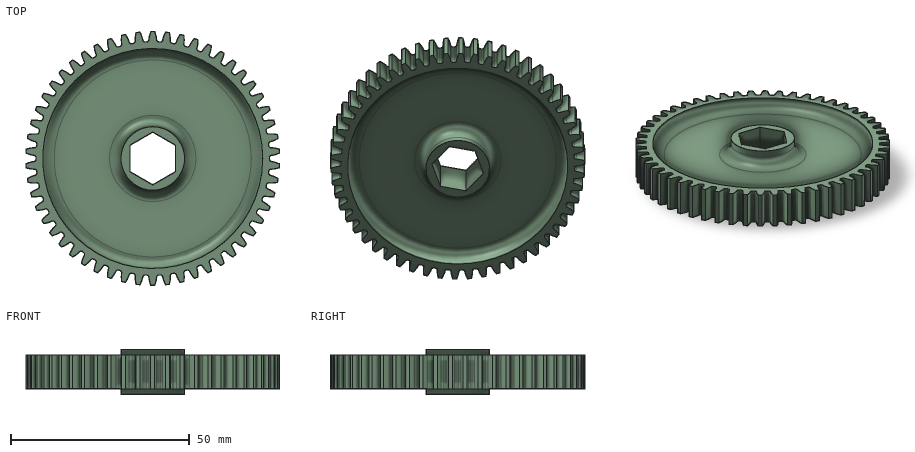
import cadquery as cq
import math

TOOTH_COUNT = 54
OUTER_DIAMETER = 71.1
PRESSURE_ANGLE = math.radians(14.5)
TOOTH_THINNING = 0.11
DEDENDUM_FACTOR = 5 / 4
ROOT_FILLET = 0.65
FLANK_POINTS = 8

FACE_WIDTH = 9.5
RIM_INNER_RADIUS = 30.8
HUB_DIAMETER = 17.8
HUB_LENGTH = 12.6
WEB_THICKNESS = 2.4
POCKET_FILLET = 3.2
HEX_ACROSS_FLATS = 12.7

MODULE = OUTER_DIAMETER / (TOOTH_COUNT + 2)
TIP_RADIUS = OUTER_DIAMETER / 2
PITCH_RADIUS = MODULE * TOOTH_COUNT / 2
ROOT_RADIUS = PITCH_RADIUS - DEDENDUM_FACTOR * MODULE
BASE_RADIUS = PITCH_RADIUS * math.cos(PRESSURE_ANGLE)
GAP_RADIUS = TIP_RADIUS + MODULE / 2
PITCH_ANGLE = 2 * math.pi / TOOTH_COUNT
HEX_CORNER_DIAMETER = HEX_ACROSS_FLATS / math.cos(math.pi / 6)


def roll_at(radius):
    """Roll angle at which the involute reaches a radius."""
    return math.sqrt((radius / BASE_RADIUS) ** 2 - 1)


def involute_angle(roll):
    """Polar angle swept by the involute from the base circle up to a roll angle."""
    return roll - math.atan(roll)


def polar(radius, angle):
    return radius * math.cos(angle), radius * math.sin(angle)


GAP_PITCH_ANGLE = PITCH_ANGLE / 4 + TOOTH_THINNING / 2 / PITCH_RADIUS
GAP_BASE_ANGLE = GAP_PITCH_ANGLE - involute_angle(roll_at(PITCH_RADIUS))


def flank_point(roll):
    """Point of the upper gap flank at a roll angle; the gap is centred on +X."""
    radius = BASE_RADIUS * math.hypot(1, roll)
    return polar(radius, GAP_BASE_ANGLE + involute_angle(roll))


def make_tooth_gap():
    """Gap between two teeth: involute flanks, then radial lines down to rounded root corners."""
    end_roll = roll_at(GAP_RADIUS)
    upper = [flank_point(end_roll * i / (FLANK_POINTS - 1)) for i in range(FLANK_POINTS)]
    lower = [(x, -y) for x, y in reversed(upper)]
    end_angle = GAP_BASE_ANGLE + end_roll
    upper_tangents = [polar(1, GAP_BASE_ANGLE), polar(1, end_angle)]
    lower_tangents = [polar(-1, -end_angle), polar(-1, -GAP_BASE_ANGLE)]
    gap = (
        cq.Workplane("XY")
        .workplane(offset=-FACE_WIDTH / 2)
        .moveTo(*polar(ROOT_RADIUS, GAP_BASE_ANGLE))
        .lineTo(*upper[0])
        .spline(upper[1:], tangents=upper_tangents, includeCurrent=True)
        .lineTo(*lower[0])
        .spline(lower[1:], tangents=lower_tangents, includeCurrent=True)
        .lineTo(*polar(ROOT_RADIUS, -GAP_BASE_ANGLE))
        .threePointArc((ROOT_RADIUS, 0), polar(ROOT_RADIUS, GAP_BASE_ANGLE))
        .close()
        .extrude(FACE_WIDTH)
    )
    inside_base_circle = cq.selectors.BoxSelector(
        (0, -MODULE, -FACE_WIDTH), ((ROOT_RADIUS + BASE_RADIUS) / 2, MODULE, FACE_WIDTH)
    )
    return gap.edges("|Z").edges(inside_base_circle).fillet(ROOT_FILLET)


def cut_teeth(blank):
    gap = make_tooth_gap().val()
    axis_start = cq.Vector(0, 0, 0)
    axis_end = cq.Vector(0, 0, 1)
    gaps = [gap.rotate(axis_start, axis_end, i * 360 / TOOTH_COUNT) for i in range(TOOTH_COUNT)]
    return blank.cut(cq.Workplane(cq.Compound.makeCompound(gaps)))


def make_blank():
    """Revolved half section of rim, web and hub, symmetric about the XY plane."""
    hub_radius = HUB_DIAMETER / 2
    hub_top = HUB_LENGTH / 2
    rim_top = FACE_WIDTH / 2
    web_top = WEB_THICKNESS / 2
    diagonal = POCKET_FILLET * (1 - math.sqrt(0.5))
    upper_half = (
        cq.Workplane("XZ")
        .lineTo(0, hub_top)
        .lineTo(hub_radius, hub_top)
        .lineTo(hub_radius, web_top + POCKET_FILLET)
        .threePointArc(
            (hub_radius + diagonal, web_top + diagonal),
            (hub_radius + POCKET_FILLET, web_top),
        )
        .lineTo(RIM_INNER_RADIUS - POCKET_FILLET, web_top)
        .threePointArc(
            (RIM_INNER_RADIUS - diagonal, web_top + diagonal),
            (RIM_INNER_RADIUS, web_top + POCKET_FILLET),
        )
        .lineTo(RIM_INNER_RADIUS, rim_top)
        .lineTo(TIP_RADIUS, rim_top)
        .lineTo(TIP_RADIUS, 0)
        .close()
        .revolve(360, (0, 0, 0), (0, 1, 0))
    )
    return upper_half.union(upper_half.mirror("XY"), clean=True)


def make_hex_bore():
    """Hexagonal through hole with two corners on the Y axis."""
    return (
        cq.Workplane("XY")
        .polygon(6, HEX_CORNER_DIAMETER)
        .extrude(HUB_LENGTH / 2, both=True)
        .rotate((0, 0, 0), (0, 0, 1), 90)
    )


result = cut_teeth(make_blank()).cut(make_hex_bore())